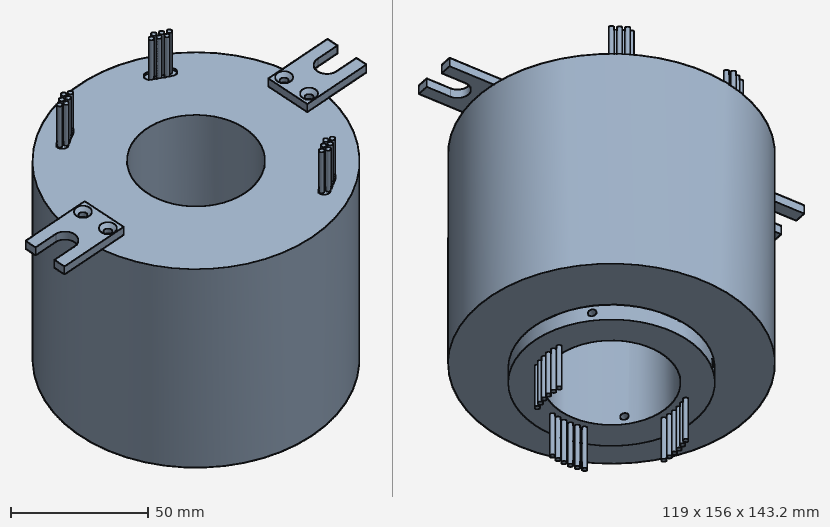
import cadquery as cq
import math

BODY_RADIUS = 59.51
BODY_HEIGHT = 96.5
BORE_RADIUS = 25.1

NECK_RADIUS = 35.3
NECK_HEIGHT = 2.0
COLLAR_RADIUS = 37.6
COLLAR_HEIGHT = 6.7
SET_SCREW_DROP = 3.1
SET_SCREW_DIAMETER = 3.1
SET_SCREW_COUNT = 4
COLLAR_BOTTOM = -(NECK_HEIGHT + COLLAR_HEIGHT)

WIRE_DIAMETER = 2.0
WIRE_LENGTH = 19.0

OUTLET_ANGLES = (30, 150, 210)
OUTLET_RADIUS = 49.3
OUTLET_WIDTH = 4.4
OUTLET_LENGTH = 12.5
OUTLET_DEPTH = 1.0
WIRES_PER_ROW = 3
ROW_PITCH = 3.0
ROW_OFFSET = 1.05

LOWER_GROUP_ANGLES = (0, 90, 270)
LOWER_WIRES_PER_GROUP = 6
LOWER_WIRE_RADIUS = 28.7
LOWER_WIRE_STEP = 5.7

SPAN = 156.0
BRACKET_WIDTH = 20.0
BRACKET_LENGTH = 30.5
BRACKET_THICKNESS = 3.9
FORK_WIDTH = 9.7
FORK_DEPTH = 15.1

SCREW_SPACING = 12.8
SCREW_RADIUS = 52.0
SCREW_CLEARANCE = 3.3
SINK_DIAMETER = 6.5
SINK_ANGLE = 90
TAP_DIAMETER = 2.5
TAP_DEPTH = 7.8
DRILL_TIP_ANGLE = 118


def cylinder(radius, height, base):
    return cq.Workplane("XY").workplane(offset=base).circle(radius).extrude(height)


def make_body():
    body = cylinder(BODY_RADIUS, BODY_HEIGHT, 0)
    neck = cylinder(NECK_RADIUS, NECK_HEIGHT, -NECK_HEIGHT)
    collar = cylinder(COLLAR_RADIUS, COLLAR_HEIGHT, COLLAR_BOTTOM)
    bore = cylinder(BORE_RADIUS, BODY_HEIGHT - COLLAR_BOTTOM, COLLAR_BOTTOM)
    return body.union(neck).union(collar).cut(bore)


def set_screw_holes():
    """Radial holes through the collar wall, midway between the X and Y axes."""
    holes = cq.Workplane("XY")
    hole = (
        cq.Workplane("YZ")
        .center(0, -NECK_HEIGHT - SET_SCREW_DROP)
        .circle(SET_SCREW_DIAMETER / 2)
        .extrude(COLLAR_RADIUS)
    )
    step = 360 / SET_SCREW_COUNT
    for i in range(SET_SCREW_COUNT):
        holes = holes.add(hole.rotate((0, 0, 0), (0, 0, 1), step * (i + 0.5)))
    return holes.combine()


def outlet_slot():
    """Slot cutter for the outlet on the +X axis, long side along Y."""
    return (
        cq.Workplane("XY")
        .workplane(offset=BODY_HEIGHT - OUTLET_DEPTH)
        .center(OUTLET_RADIUS, 0)
        .slot2D(OUTLET_LENGTH, OUTLET_WIDTH, 90)
        .extrude(OUTLET_DEPTH)
    )


def outlet_wires(stagger):
    """Wires of the outlet on the +X axis; stagger is +1 or -1, the way the outer row shifts."""
    points = []
    for side in (1, -1):
        shift = side * stagger * ROW_PITCH / 4
        for i in range(WIRES_PER_ROW):
            along = (i - (WIRES_PER_ROW - 1) / 2) * ROW_PITCH + shift
            points.append((OUTLET_RADIUS + side * ROW_OFFSET, along))
    return (
        cq.Workplane("XY")
        .workplane(offset=BODY_HEIGHT - OUTLET_DEPTH)
        .pushPoints(points)
        .circle(WIRE_DIAMETER / 2)
        .extrude(OUTLET_DEPTH + WIRE_LENGTH)
    )


def lower_wires():
    wires = cq.Workplane("XY").workplane(offset=COLLAR_BOTTOM)
    points = []
    for group in LOWER_GROUP_ANGLES:
        for i in range(LOWER_WIRES_PER_GROUP):
            offset = (i - (LOWER_WIRES_PER_GROUP - 1) / 2) * LOWER_WIRE_STEP
            angle = math.radians(group + offset)
            points.append((LOWER_WIRE_RADIUS * math.cos(angle), LOWER_WIRE_RADIUS * math.sin(angle)))
    return wires.pushPoints(points).circle(WIRE_DIAMETER / 2).extrude(-WIRE_LENGTH)


def bracket():
    """Fork bracket on the +Y side, open end outward."""
    end = SPAN / 2
    plate = (
        cq.Workplane("XY")
        .workplane(offset=BODY_HEIGHT)
        .center(0, end - BRACKET_LENGTH / 2)
        .rect(BRACKET_WIDTH, BRACKET_LENGTH)
        .extrude(BRACKET_THICKNESS)
    )
    fork = (
        cq.Workplane("XY")
        .workplane(offset=BODY_HEIGHT)
        .center(0, end)
        .slot2D(2 * FORK_DEPTH, FORK_WIDTH, 90)
        .extrude(BRACKET_THICKNESS)
    )
    return plate.cut(fork)


def screw_holes():
    """Countersunk bracket holes on the +Y side, running on into drilled holes in the body."""
    top = BODY_HEIGHT + BRACKET_THICKNESS
    tap = TAP_DIAMETER / 2
    clearance = SCREW_CLEARANCE / 2
    sink = SINK_DIAMETER / 2
    sink_depth = (sink - clearance) / math.tan(math.radians(SINK_ANGLE / 2))
    tap_bottom = BODY_HEIGHT - TAP_DEPTH
    tip_depth = tap / math.tan(math.radians(DRILL_TIP_ANGLE / 2))
    profile = (
        cq.Workplane("XZ")
        .moveTo(0, tap_bottom - tip_depth)
        .lineTo(tap, tap_bottom)
        .lineTo(tap, BODY_HEIGHT)
        .lineTo(clearance, BODY_HEIGHT)
        .lineTo(clearance, top - sink_depth)
        .lineTo(sink, top)
        .lineTo(0, top)
        .close()
    )
    hole = profile.revolve(360, (0, 0, 0), (0, 1, 0)).translate((0, SCREW_RADIUS, 0))
    half = SCREW_SPACING / 2
    return hole.translate((half, 0, 0)).add(hole.translate((-half, 0, 0))).combine()


def turned(shape, angle):
    return shape.rotate((0, 0, 0), (0, 0, 1), angle)


result = make_body().cut(set_screw_holes()).union(lower_wires())

for angle in OUTLET_ANGLES:
    stagger = -1 if angle == 150 else 1
    result = result.cut(turned(outlet_slot(), angle))
    result = result.union(turned(outlet_wires(stagger), angle))

for angle in (0, 180):
    result = result.union(turned(bracket(), angle))
    result = result.cut(turned(screw_holes(), angle))